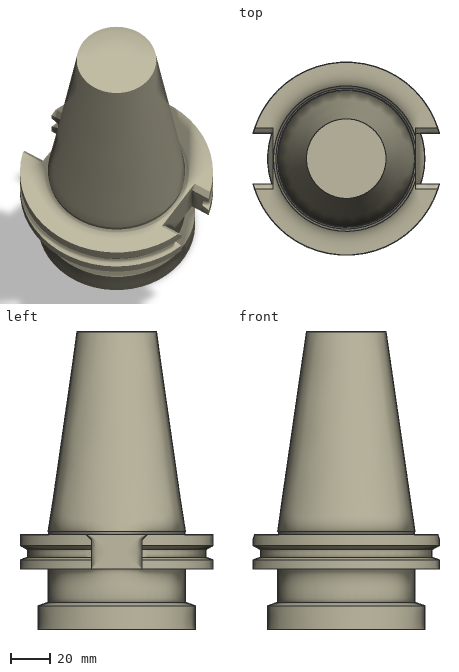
import cadquery as cq

total_height = 151.6
nose_top = 12.1
nose_slope_top = 14.0
flange_bottom = 30.8
groove_lower_edge = 35.5
groove_floor_bottom = 36.8
groove_floor_top = 40.8
groove_upper_edge = 42.8
flange_top = 48.4
gauge_level = 50.0

nose_diameter = 80.0
neck_diameter = 69.9
flange_diameter = 98.2
groove_diameter = 90.8
collar_diameter = 69.3
gauge_diameter = 69.9
small_end_diameter = 40.5

relief_diameter = 74.0
relief_floor_diameter = 71.5
relief_depth = 0.6

slot_width = 25.8
slot_chamfer = 2.6
left_floor_distance = 37.3
right_floor_distance = 35.2


def make_body():
    """Revolve the half profile of nose, neck, flange and taper about Z."""
    steps = [
        (nose_diameter, 0),
        (nose_diameter, nose_top),
        (neck_diameter, nose_slope_top),
        (neck_diameter, flange_bottom),
        (flange_diameter, flange_bottom),
        (flange_diameter, groove_lower_edge),
        (groove_diameter, groove_floor_bottom),
        (groove_diameter, groove_floor_top),
        (flange_diameter, groove_upper_edge),
        (flange_diameter, flange_top),
        (relief_diameter, flange_top),
        (relief_floor_diameter, flange_top - relief_depth),
        (collar_diameter, flange_top - relief_depth),
        (collar_diameter, gauge_level),
        (gauge_diameter, gauge_level),
        (small_end_diameter, total_height),
    ]
    outline = [(0, 0)] + [(diameter / 2, z) for diameter, z in steps] + [(0, total_height)]
    return cq.Workplane("XZ").polyline(outline).close().revolve(360, (0, 0, 0), (0, 1, 0))


def make_slot(side, floor_distance):
    """Slot through the flange on one side (-1 or 1), flared at its upper edges."""
    half_width = slot_width / 2
    flare_half_width = half_width + slot_chamfer
    section = [
        (-half_width, flange_bottom),
        (half_width, flange_bottom),
        (half_width, flange_top - slot_chamfer),
        (flare_half_width, flange_top),
        (-flare_half_width, flange_top),
        (-half_width, flange_top - slot_chamfer),
    ]
    return (
        cq.Workplane("YZ", origin=(side * floor_distance, 0, 0))
        .polyline(section)
        .close()
        .extrude(side * flange_diameter)
    )


result = (
    make_body()
    .cut(make_slot(-1, left_floor_distance))
    .cut(make_slot(1, right_floor_distance))
)